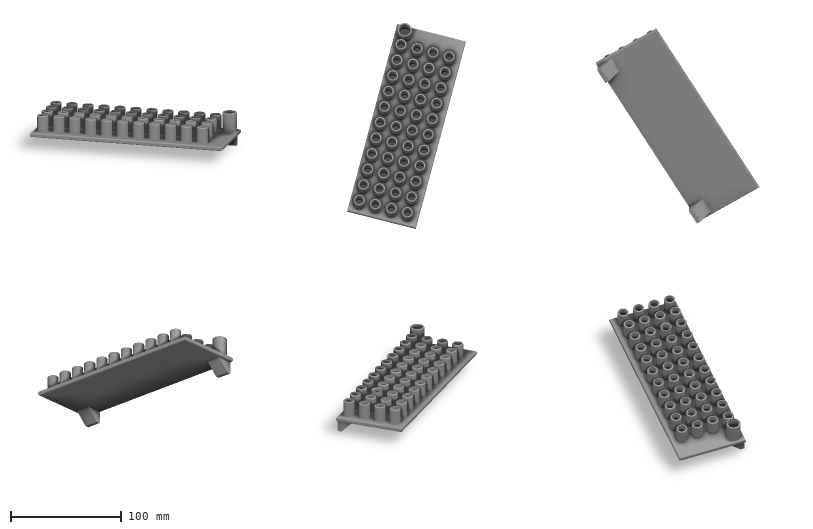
import cadquery as cq

PLATE_LENGTH = 180.0
PLATE_WIDTH = 64.0
PLATE_THICKNESS = 4.0
EDGE_FILLET = 1.17

COLUMNS = 11
ROWS = 4
GRID_LENGTH = 150.0
TUBE_PITCH = GRID_LENGTH / (COLUMNS - 1)
GRID_LEFT_MARGIN = 9.0
GRID_BACK_MARGIN = 9.0
TUBE_DIAMETER = 10.0
TUBE_BORE = 7.5
TUBE_HEIGHT = 15.0
INNER_ROUNDED_PLACE = (2, 1)

LARGE_TUBE_DIAMETER = 13.0
LARGE_TUBE_BORE = 10.5
LARGE_TUBE_HEIGHT = 18.0
LARGE_TUBE_RIGHT_MARGIN = 8.0

RIM_FILLET = 0.94
FOOT_FILLET = 1.17

OVERALL_HEIGHT = 33.0
LEG_HEIGHT = OVERALL_HEIGHT - PLATE_THICKNESS - LARGE_TUBE_HEIGHT
LEG_LENGTH = 14.0
LEG_TIP_DEPTH = 4.0
LEG_SIDE_MARGIN = 3.0

LEFT = -PLATE_LENGTH / 2
RIGHT = PLATE_LENGTH / 2
BACK = PLATE_WIDTH / 2

INNER_CIRCLE = cq.selectors.RadiusNthSelector(0)
OUTER_CIRCLE = cq.selectors.RadiusNthSelector(1)
FOOT_SEARCH_REACH = cq.Vector(1.8, 1.8, 1.8)


def make_plate():
    """Plate with rounded edges, except for the lower back edge, which stays sharp above the legs."""
    plate = cq.Workplane("XY").box(PLATE_LENGTH, PLATE_WIDTH, PLATE_THICKNESS, centered=(True, True, False))
    plate = plate.faces(">Z").edges().fillet(EDGE_FILLET)
    return plate.faces("<Z").edges("not >Y").fillet(EDGE_FILLET)


def make_tube(diameter, bore, height, round_inner_rim=False):
    """Tube standing on the plate top, with one edge of its rim rounded."""
    tube = (
        cq.Workplane("XY", origin=(0, 0, PLATE_THICKNESS))
        .circle(diameter / 2)
        .circle(bore / 2)
        .extrude(height)
    )
    rim_edge = INNER_CIRCLE if round_inner_rim else OUTER_CIRCLE
    return tube.faces(">Z").edges(rim_edge).fillet(RIM_FILLET)


def make_foot(diameter, bore):
    """Concave flare around the bottom of a small tube."""
    foot = (
        cq.Workplane("XZ", origin=(0, 0, PLATE_THICKNESS))
        .moveTo(bore / 2, 0)
        .lineTo(diameter / 2 + FOOT_FILLET, 0)
        .radiusArc((diameter / 2, FOOT_FILLET), FOOT_FILLET)
        .lineTo(bore / 2, FOOT_FILLET)
        .close()
    )
    return foot.revolve(360, (0, 0, 0), (0, 1, 0))


def add_large_tube(body, center):
    """Join the large tube and blend its foot into the plate, across the rounded plate edge."""
    tube = make_tube(LARGE_TUBE_DIAMETER, LARGE_TUBE_BORE, LARGE_TUBE_HEIGHT)
    body = body.union(tube.translate(center))
    foot_center = cq.Vector(center) + cq.Vector(0, 0, PLATE_THICKNESS)
    around_foot = cq.selectors.BoxSelector(foot_center + FOOT_SEARCH_REACH, foot_center - FOOT_SEARCH_REACH)
    foot_circles = body.edges("%CIRCLE").edges(around_foot)
    return foot_circles.edges(OUTER_CIRCLE).fillet(FOOT_FILLET)


def make_leg(left_side):
    """Leg flush with the back edge, with a front face sloping at 45 degrees."""
    return (
        cq.Workplane("YZ", origin=(left_side, 0, 0))
        .moveTo(BACK, 0)
        .lineTo(BACK, -LEG_HEIGHT)
        .lineTo(BACK - LEG_TIP_DEPTH, -LEG_HEIGHT)
        .lineTo(BACK - LEG_TIP_DEPTH - LEG_HEIGHT, 0)
        .close()
        .extrude(LEG_LENGTH)
    )


back_row_y = BACK - GRID_BACK_MARGIN
result = add_large_tube(make_plate(), (RIGHT - LARGE_TUBE_RIGHT_MARGIN, back_row_y, 0))

foot = make_foot(TUBE_DIAMETER, TUBE_BORE)
outer_rounded_tube = make_tube(TUBE_DIAMETER, TUBE_BORE, TUBE_HEIGHT).union(foot)
inner_rounded_tube = make_tube(TUBE_DIAMETER, TUBE_BORE, TUBE_HEIGHT, round_inner_rim=True).union(foot)
for column in range(COLUMNS):
    for row in range(ROWS):
        tube = inner_rounded_tube if (column, row) == INNER_ROUNDED_PLACE else outer_rounded_tube
        tube_x = LEFT + GRID_LEFT_MARGIN + column * TUBE_PITCH
        tube_y = back_row_y - row * TUBE_PITCH
        result = result.union(tube.translate((tube_x, tube_y, 0)))

for leg_x in (LEFT + LEG_SIDE_MARGIN, RIGHT - LEG_SIDE_MARGIN - LEG_LENGTH):
    result = result.union(make_leg(leg_x))